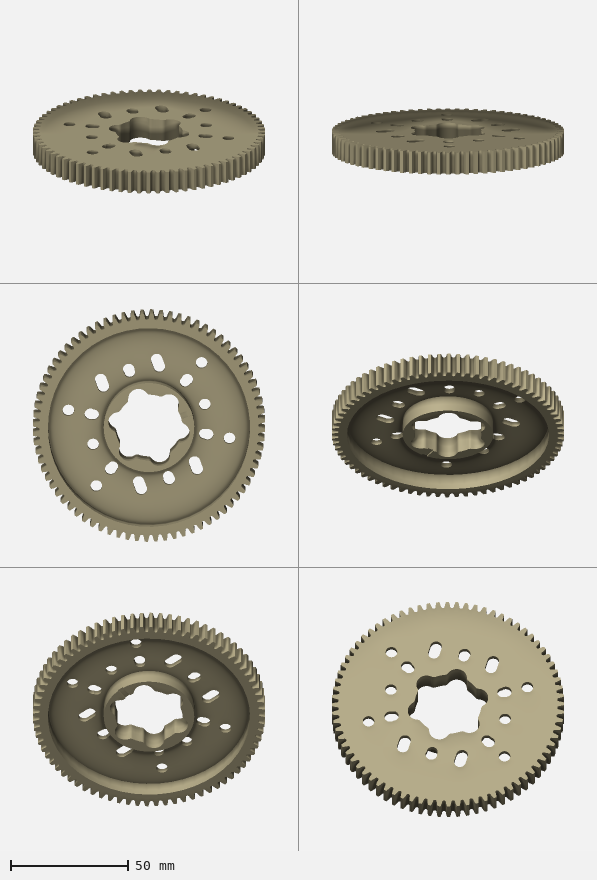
import cadquery as cq
import math

SIDE = 99.0
THICKNESS = 9.5
TEETH = 76
PRESSURE_ANGLE = math.radians(14.5)
DEDENDUM = 1.3

BORE_RADIUS = 14.3
LOBE_COUNT = 6
LOBE_CENTRE_RADIUS = 13.2
LOBE_RADIUS = 4.4
SHOULDER_RADIUS = 1.8

WEB_THICKNESS = 2.3
HUB_RADIUS = 19.3
RIM_INNER_RADIUS = 43.1

GROOVE_WIDTH = 2.6
GROOVE_DEPTH = 0.6

BOLT_DIAMETER = 5.0
BOLT_CIRCLE_RADIUS = 25.3
OUTER_CIRCLE_RADIUS = 34.9
RELIEF_DIAMETER = 4.6
RELIEF_CIRCLE_RADIUS = 24.0
SLOT_ANGLE = 30
LOBE_ANGLES = range(0, 360, 360 // LOBE_COUNT)
BOLT_ANGLES = (*LOBE_ANGLES, 90, 270)
OUTER_ANGLES = (60, 120, 240, 300)


def polar(radius, angle):
    """Point at the given radius and angle in radians."""
    return (radius * math.cos(angle), radius * math.sin(angle))


def involute(angle):
    return math.tan(angle) - angle


pitch_ratio = TEETH / 2
base_ratio = pitch_ratio * math.cos(PRESSURE_ANGLE)
tip_ratio = pitch_ratio + 1
root_ratio = pitch_ratio - DEDENDUM
half_pitch_angle = math.pi / TEETH


def tooth_half_angle(ratio):
    """Half the angle a tooth spans at a radius; constant below the base circle."""
    flank_angle = math.acos(min(1, base_ratio / ratio))
    return half_pitch_angle / 2 + involute(PRESSURE_ANGLE) - involute(flank_angle)


root_round_ratio = root_ratio * math.sin(half_pitch_angle - tooth_half_angle(root_ratio))
flank_start_ratio = root_ratio + root_round_ratio

tip_corner_angle = half_pitch_angle - tooth_half_angle(tip_ratio)
module = SIDE / 2 / (tip_ratio * math.cos(tip_corner_angle))
tip_radius = tip_ratio * module


def flank_point(ratio, side):
    """Point on one flank of the tooth gap centred on +X; side is -1 or +1."""
    return polar(ratio * module, side * (half_pitch_angle - tooth_half_angle(ratio)))


def tooth_gap():
    """Cutter for the gap on +X, its flanks drawn as arcs through the involute."""
    overshoot = 1.0
    lower_tip = flank_point(tip_ratio, -1)
    upper_tip = flank_point(tip_ratio, 1)
    return (
        cq.Workplane("XY")
        .moveTo(tip_radius + overshoot, lower_tip[1])
        .lineTo(*lower_tip)
        .threePointArc(flank_point(pitch_ratio, -1), flank_point(flank_start_ratio, -1))
        .threePointArc((root_ratio * module, 0), flank_point(flank_start_ratio, 1))
        .threePointArc(flank_point(pitch_ratio, 1), upper_tip)
        .lineTo(tip_radius + overshoot, upper_tip[1])
        .close()
        .extrude(THICKNESS)
    )


def gear_blank():
    disc = cq.Workplane("XY").circle(tip_radius).extrude(THICKNESS)
    gap = tooth_gap().val()
    axis_start = cq.Vector(0, 0, 0)
    axis_end = cq.Vector(0, 0, 1)
    gaps = [gap.rotate(axis_start, axis_end, 360 * i / TEETH) for i in range(TEETH)]
    return cq.Workplane(disc.val().cut(*gaps))


def lobe():
    """Lobe on +X: a round nose running into the bore circle through reverse-curved shoulders."""
    shoulder_reach = BORE_RADIUS + SHOULDER_RADIUS
    nose_reach = LOBE_RADIUS + SHOULDER_RADIUS
    shoulder_angle = math.acos(
        (shoulder_reach**2 + LOBE_CENTRE_RADIUS**2 - nose_reach**2)
        / (2 * shoulder_reach * LOBE_CENTRE_RADIUS)
    )
    shoulder_x, shoulder_y = polar(shoulder_reach, shoulder_angle)
    nose_angle = math.atan2(shoulder_y, shoulder_x - LOBE_CENTRE_RADIUS)
    bore_x, bore_y = polar(BORE_RADIUS, shoulder_angle)
    nose_x = LOBE_CENTRE_RADIUS + LOBE_RADIUS * math.cos(nose_angle)
    nose_y = LOBE_RADIUS * math.sin(nose_angle)
    middle_dx, middle_dy = polar(SHOULDER_RADIUS, (shoulder_angle + nose_angle) / 2)
    middle_x, middle_y = shoulder_x - middle_dx, shoulder_y - middle_dy
    return (
        cq.Workplane("XY")
        .moveTo(0, 0)
        .lineTo(bore_x, -bore_y)
        .threePointArc((middle_x, -middle_y), (nose_x, -nose_y))
        .threePointArc((LOBE_CENTRE_RADIUS + LOBE_RADIUS, 0), (nose_x, nose_y))
        .threePointArc((middle_x, middle_y), (bore_x, bore_y))
        .close()
        .extrude(THICKNESS)
    )


def underside_recess():
    """Ring-shaped recess in the underside, between the hub and the toothed rim."""
    return cq.Workplane("XY").circle(RIM_INNER_RADIUS).circle(HUB_RADIUS).extrude(THICKNESS - WEB_THICKNESS)


def lobed_bore():
    bore = cq.Workplane("XY").circle(BORE_RADIUS).extrude(THICKNESS)
    for angle in LOBE_ANGLES:
        bore = bore.union(lobe().rotate((0, 0, 0), (0, 0, 1), angle))
    return bore


def index_groove():
    """Shallow radial groove across the hub's lower face on +Y."""
    return (
        cq.Workplane("XY")
        .center(0, HUB_RADIUS / 2)
        .rect(GROOVE_WIDTH, HUB_RADIUS)
        .extrude(GROOVE_DEPTH)
    )


def round_holes(points, diameter):
    return cq.Workplane("XY").pushPoints(points).circle(diameter / 2).extrude(THICKNESS)


def bolt_points(radius, degrees):
    return [polar(radius, math.radians(angle)) for angle in degrees]


def side_slots():
    """Horizontal slots joining a bolt-circle position to a square-grid position."""
    inner_x, slot_y = polar(BOLT_CIRCLE_RADIUS, math.radians(SLOT_ANGLE))
    outer_x = BOLT_CIRCLE_RADIUS
    slot_x = (inner_x + outer_x) / 2
    slot_length = outer_x - inner_x + BOLT_DIAMETER
    centres = [(sx * slot_x, sy * slot_y) for sx in (-1, 1) for sy in (-1, 1)]
    return cq.Workplane("XY").pushPoints(centres).slot2D(slot_length, BOLT_DIAMETER).extrude(THICKNESS)


result = (
    gear_blank()
    .cut(lobed_bore())
    .cut(underside_recess())
    .cut(index_groove())
    .cut(round_holes(bolt_points(BOLT_CIRCLE_RADIUS, BOLT_ANGLES), BOLT_DIAMETER))
    .cut(round_holes(bolt_points(RELIEF_CIRCLE_RADIUS, LOBE_ANGLES), RELIEF_DIAMETER))
    .cut(round_holes(bolt_points(OUTER_CIRCLE_RADIUS, OUTER_ANGLES), BOLT_DIAMETER))
    .cut(side_slots())
)